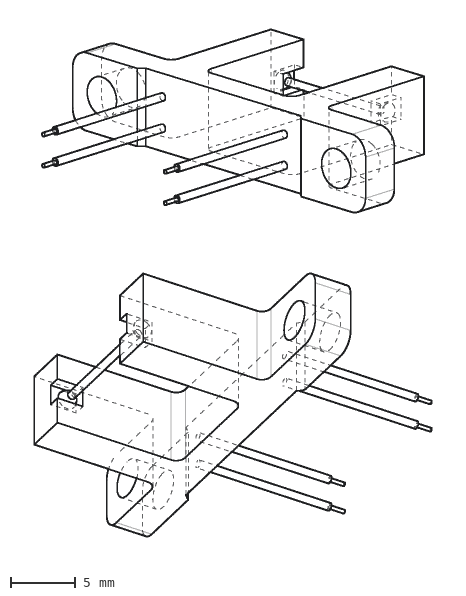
import cadquery as cq

total_depth = 26.8

bar_length = 31.75
bar_thickness = 3.18
height = 6.35
bar_corner_radius = 1.5
hole_spacing = 25.4
hole_diameter = 3.18

recess_floor_width = 16.8
recess_depth = 0.48

arm_end_y = 14.15
arm_outer_width = 16.6
gap_width = 9.5
arm_fillet_radius = 0.8

pocket_depth = 1.02
pocket_length = 2.26
pocket_height = 1.78
pocket_floor_span = gap_width + 2 * pocket_depth

rod_diameter = 0.64
rod_end_distance = 1.43

lens_radius = 0.77

lead_spacing_x = 13.2
lead_spacing_z = 2.54
sheath_diameter = 0.64
core_diameter = 0.32
core_exposed = 1.3
lead_embedment = 1.0
lead_start_y = recess_depth + lead_embedment


def make_bar():
    bar = cq.Workplane("XY").box(bar_length, bar_thickness, height, centered=(True, False, True))
    bar = bar.edges("|Y").fillet(bar_corner_radius)
    holes = (
        cq.Workplane("XZ")
        .pushPoints([(-hole_spacing / 2, 0), (hole_spacing / 2, 0)])
        .circle(hole_diameter / 2)
        .extrude(-bar_thickness)
    )
    return bar.cut(holes)


def add_arms(body):
    arm_width = (arm_outer_width - gap_width) / 2
    arm_center_x = (arm_outer_width + gap_width) / 4
    arm_start_y = bar_thickness / 2
    arm_length = arm_end_y - arm_start_y
    for side in (-1, 1):
        arm = cq.Workplane("XY").box(arm_width, arm_length, height, centered=(True, False, True))
        body = body.union(arm.translate((side * arm_center_x, arm_start_y, 0)))
    root_x = arm_outer_width / 2 + arm_fillet_radius
    root_edges = cq.selectors.BoxSelector(
        (-root_x, bar_thickness - arm_fillet_radius, -height),
        (root_x, bar_thickness + arm_fillet_radius, height),
    )
    return body.edges("|Z").edges(root_edges).fillet(arm_fillet_radius)


def cut_recess(body):
    floor_half = recess_floor_width / 2
    mouth_half = floor_half + recess_depth
    recess = (
        cq.Workplane("XY")
        .moveTo(-mouth_half, 0)
        .lineTo(mouth_half, 0)
        .lineTo(floor_half, recess_depth)
        .lineTo(-floor_half, recess_depth)
        .close()
        .extrude(height / 2, both=True)
    )
    return body.cut(recess)


def cut_pockets(body):
    pockets = cq.Workplane("XY").box(pocket_floor_span, pocket_length, pocket_height)
    return body.cut(pockets.translate((0, arm_end_y - pocket_length / 2, 0)))


def add_rod_and_lenses(body):
    rod_y = arm_end_y - rod_end_distance
    rod = cq.Workplane("YZ").circle(rod_diameter / 2).extrude(pocket_floor_span / 2, both=True)
    body = body.union(rod.translate((0, rod_y, 0)))
    for side in (-1, 1):
        lens = cq.Workplane("XY").sphere(lens_radius)
        body = body.union(lens.translate((side * pocket_floor_span / 2, rod_y, 0)))
    return body


def make_lead_cylinders(diameter, length):
    return (
        cq.Workplane("XZ", origin=(0, lead_start_y, 0))
        .rarray(lead_spacing_x, lead_spacing_z, 2, 2)
        .circle(diameter / 2)
        .extrude(length)
    )


def add_leads(body):
    core_length = lead_start_y + total_depth - arm_end_y
    sheaths = make_lead_cylinders(sheath_diameter, core_length - core_exposed)
    cores = make_lead_cylinders(core_diameter, core_length)
    return body.union(sheaths).union(cores)


result = make_bar()
result = add_arms(result)
result = cut_recess(result)
result = cut_pockets(result)
result = add_rod_and_lenses(result)
result = add_leads(result)